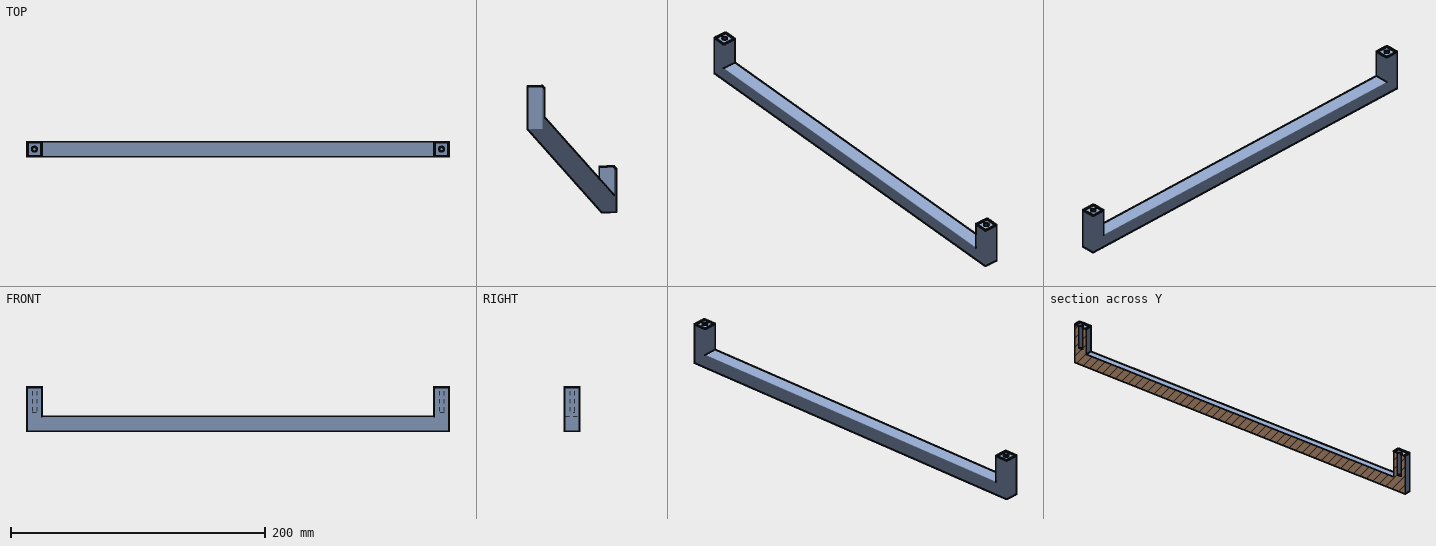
import cadquery as cq

hole_spacing = 320.0
bar_size = 12.0
handle_height = 35.0
edge_radius = 0.5
rim_width = 0.5
island_length = 9.8
island_width = 10.2
groove_depth = 0.7
hole_diameter = 3.3
hole_depth = 20.0
countersink_diameter = 4.3
countersink_angle = 45.0

overall_length = hole_spacing + bar_size
inner_length = hole_spacing - bar_size
leg_height = handle_height - bar_size
groove_size = bar_size - 2 * rim_width
countersink_depth = (countersink_diameter - hole_diameter) / 2
leg_axes = [(-hole_spacing / 2, 0), (hole_spacing / 2, 0)]


def bar_frame():
    """U-shaped handle: a horizontal grip with an upright leg at each end."""
    block = cq.Workplane("XY").box(
        overall_length, bar_size, handle_height, centered=(True, True, False)
    )
    gap = (
        cq.Workplane("XY")
        .workplane(offset=bar_size)
        .box(inner_length, bar_size, leg_height, centered=(True, True, False))
    )
    return block.cut(gap)


def round_outer_edges(frame):
    """Round the outer edges, leaving the leg tops and the two inside corners sharp."""
    top_edges = frame.faces(">Z").edges().vals()
    side_edges = frame.faces("<Y or >Y").edges().vals()
    long_edges = [edge for edge in side_edges if edge not in top_edges]
    end_edges = frame.faces("<Z").edges("|Y").vals()
    return frame.newObject(long_edges + end_edges).fillet(edge_radius)


def leg_top_centres():
    """Workplane on the leg tops with a point on each leg axis."""
    return cq.Workplane("XY").workplane(offset=handle_height).pushPoints(leg_axes)


def cut_top_grooves(frame):
    """Cut a shallow rectangular groove around the flat in the middle of each leg top."""
    outsides = leg_top_centres().rect(groove_size, groove_size).extrude(-groove_depth)
    islands = leg_top_centres().rect(island_length, island_width).extrude(-groove_depth)
    return frame.cut(outsides.cut(islands))


def drill_mounting_holes(frame):
    """Drill a blind countersunk hole down the axis of each leg."""
    holes = leg_top_centres().circle(hole_diameter / 2).extrude(-hole_depth)
    countersinks = (
        leg_top_centres()
        .circle(countersink_diameter / 2)
        .extrude(-countersink_depth, taper=countersink_angle)
    )
    return frame.cut(holes).cut(countersinks)


handle = round_outer_edges(bar_frame())
handle = cut_top_grooves(handle)
result = drill_mounting_holes(handle).solids()